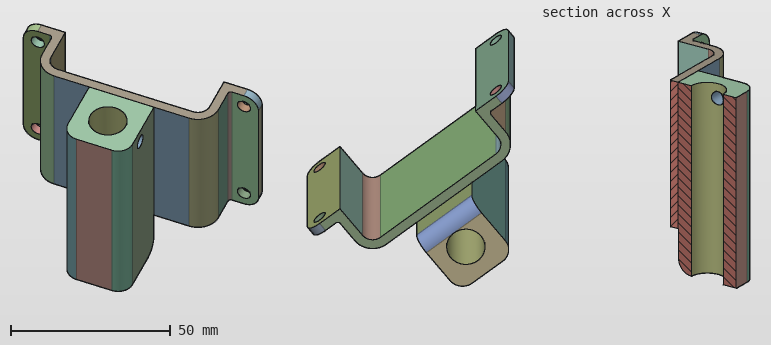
import cadquery as cq

overall_width = 80.0
plate_height = 50.0
plate_thickness = 3.0
bracket_depth = 18.5
channel_width = 60.0
bend_inner_radius = 4.0
bend_outer_radius = bend_inner_radius + plate_thickness
flange_root_radius = 1.0
flange_corner_radius = 5.0
screw_hole_diameter = 4.5
screw_hole_inset = flange_corner_radius

block_side = 22.0
block_height = 65.0
block_edge_radius = 5.0
bore_diameter = 12.0
cross_hole_diameter = 4.5
cross_hole_drop = 5.0

flange_back_y = bracket_depth
flange_front_y = flange_back_y - plate_thickness


def upright_box(width, y_front, y_back, height):
    """Box centred on X, between two Y positions, hanging down from Z = 0."""
    return cq.Workplane("XY").box(
        width, y_back - y_front, height, centered=(True, False, False)
    ).translate((0, y_front, -height))


def make_bracket():
    flanges = upright_box(overall_width, flange_front_y, flange_back_y, plate_height)
    flanges = flanges.edges("|Y").fillet(flange_corner_radius)

    channel = upright_box(channel_width, 0, flange_back_y, plate_height)
    channel = channel.edges("|Z and <Y").fillet(bend_outer_radius)
    bracket = flanges.union(channel)

    half_channel = channel_width / 2
    for x in (-half_channel, half_channel):
        corner = cq.selectors.NearestToPointSelector((x, flange_front_y, -plate_height / 2))
        bracket = bracket.edges(corner).fillet(flange_root_radius)

    inside_width = channel_width - 2 * plate_thickness
    inside = upright_box(inside_width, plate_thickness, flange_back_y, plate_height)
    inside = inside.edges("|Z and <Y").fillet(bend_inner_radius)
    bracket = bracket.cut(inside)

    screw_holes = (
        cq.Workplane("XZ", origin=(0, flange_back_y, -plate_height / 2))
        .rect(overall_width - 2 * screw_hole_inset, plate_height - 2 * screw_hole_inset,
              forConstruction=True)
        .vertices()
        .circle(screw_hole_diameter / 2)
        .extrude(plate_thickness)
    )
    return bracket.cut(screw_holes)


def make_block():
    block = upright_box(block_side, -block_side, 0, block_height)
    block = block.edges("|Z and <Y").fillet(block_edge_radius)
    block = block.edges("|X and >Y and <Z").fillet(block_edge_radius)

    bore_y = -block_side / 2
    bore = (
        cq.Workplane("XY", origin=(0, bore_y, -block_height))
        .circle(bore_diameter / 2)
        .extrude(block_height)
    )

    cross_hole = (
        cq.Workplane("YZ", origin=(0, bore_y, -cross_hole_drop))
        .circle(cross_hole_diameter / 2)
        .extrude(block_side / 2)
    )
    return block.cut(bore).cut(cross_hole)


bracket = make_bracket()
block = make_block()
result = cq.Compound.makeCompound([bracket.val(), block.val()])